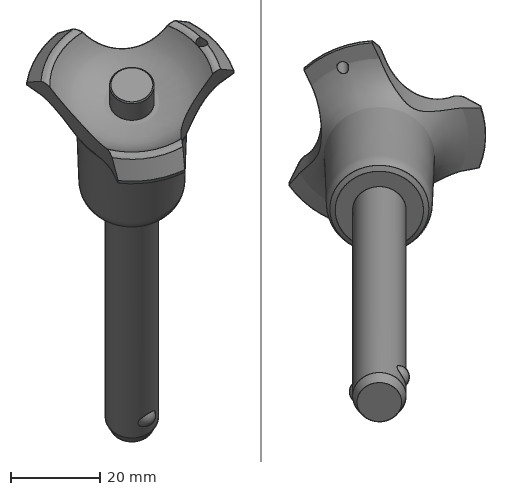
import cadquery as cq
import math

TOTAL_LENGTH = 130.3

RIM_RADIUS = 23.82
RIM_TOP_Z = -3.9
RIM_BOTTOM_Z = -4.9
CREST_OUTER_RADIUS = 20.4
CREST_INNER_RADIUS = 18.4
CREST_DROP = 0.25
FLARE_TOP = (20.0, -5.5)
FLARE_MIDDLE = (15.25, -8.85)

GRIP_TOP_RADIUS = 12.4
GRIP_TOP_Z = -14.3
GRIP_BOTTOM_RADIUS = 11.9
GRIP_BOTTOM_Z = -36.3
GRIP_CORNER_MIDDLE = (11.65, -38.0)
GRIP_CORNER_END = (11.1, -39.2)
GRIP_BASE_RADIUS = 9.9
GRIP_BASE_Z = -39.8

BOWL_MIDDLE = (13.9, -4.0)
FLOOR_RADIUS = 6.2
FLOOR_Z = -6.7

LOBE_HALF_WIDTH = 8.4
WAIST_START_Y = 16.9
WAIST_END_X = 18.5
WAIST_TURN = math.radians(60)
SIDE_CORNER_X = 23.635
LOWER_CORNER_X = 17.0
LOWER_ARC_MIDDLE_Y = -13.85

LANYARD_HOLE_DIAMETER = 2.6
LANYARD_HOLE_Y = 19.7

BUTTON_RADIUS = 5.0
BUTTON_CHAMFER = 0.3
SHANK_RADIUS = 6.0
TIP_RADIUS = 5.0
TIP_LENGTH = 2.9
BALL_RADIUS = 2.6
BALL_REACH = 7.15
BALL_Z = -121.9


def on_rim(x, sign):
    """Point of the rim circle at the given X, with Y of the given sign."""
    return (x, sign * math.sqrt(RIM_RADIUS**2 - x**2))


def mirrored(point):
    return (-point[0], point[1])


def make_grip():
    """Turned handle: grip body, flare, rim and crest."""
    return (
        cq.Workplane("XZ")
        .moveTo(0, 0)
        .lineTo(0, GRIP_BASE_Z)
        .lineTo(GRIP_BASE_RADIUS, GRIP_BASE_Z)
        .lineTo(*GRIP_CORNER_END)
        .threePointArc(GRIP_CORNER_MIDDLE, (GRIP_BOTTOM_RADIUS, GRIP_BOTTOM_Z))
        .lineTo(GRIP_TOP_RADIUS, GRIP_TOP_Z)
        .threePointArc(FLARE_MIDDLE, FLARE_TOP)
        .lineTo(RIM_RADIUS, RIM_BOTTOM_Z)
        .lineTo(RIM_RADIUS, RIM_TOP_Z)
        .lineTo(CREST_OUTER_RADIUS, -CREST_DROP)
        .threePointArc(
            ((CREST_OUTER_RADIUS + CREST_INNER_RADIUS) / 2, 0),
            (CREST_INNER_RADIUS, -CREST_DROP),
        )
        .lineTo(CREST_INNER_RADIUS, 0)
        .close()
        .revolve(360, (0, 0, 0), (0, 1, 0))
    )


def make_bowl():
    """Turned hollow of the handle: a dish with a flat floor."""
    return (
        cq.Workplane("XZ")
        .moveTo(0, 0)
        .lineTo(0, FLOOR_Z)
        .lineTo(FLOOR_RADIUS, FLOOR_Z)
        .threePointArc(BOWL_MIDDLE, (CREST_INNER_RADIUS, -CREST_DROP))
        .lineTo(CREST_INNER_RADIUS, 0)
        .close()
        .revolve(360, (0, 0, 0), (0, 1, 0))
    )


def make_lobe_prism():
    """Prism with the outline of the three lobes, full height of the handle."""
    upper_corner = on_rim(LOBE_HALF_WIDTH, 1)
    side_corner = on_rim(SIDE_CORNER_X, -1)
    lower_corner = on_rim(LOWER_CORNER_X, -1)
    waist_start = (LOBE_HALF_WIDTH, WAIST_START_Y)
    waist_end = (WAIST_END_X, 0)

    chord_x = waist_end[0] - waist_start[0]
    chord_y = waist_end[1] - waist_start[1]
    bulge = math.tan(WAIST_TURN / 4) / 2
    waist_middle = (
        (waist_start[0] + waist_end[0]) / 2 + bulge * chord_y,
        (waist_start[1] + waist_end[1]) / 2 - bulge * chord_x,
    )

    side_middle_angle = (
        math.atan2(side_corner[1], side_corner[0])
        + math.atan2(lower_corner[1], lower_corner[0])
    ) / 2
    side_middle = (
        RIM_RADIUS * math.cos(side_middle_angle),
        RIM_RADIUS * math.sin(side_middle_angle),
    )
    return (
        cq.Workplane("XY")
        .moveTo(*mirrored(upper_corner))
        .threePointArc((0, RIM_RADIUS), upper_corner)
        .lineTo(*waist_start)
        .threePointArc(waist_middle, waist_end)
        .lineTo(*side_corner)
        .threePointArc(side_middle, lower_corner)
        .threePointArc((0, LOWER_ARC_MIDDLE_Y), mirrored(lower_corner))
        .threePointArc(mirrored(side_middle), mirrored(side_corner))
        .lineTo(*mirrored(waist_end))
        .threePointArc(mirrored(waist_middle), mirrored(waist_start))
        .close()
        .extrude(GRIP_BASE_Z)
    )


def make_lanyard_hole():
    return (
        cq.Workplane("XY")
        .center(0, LANYARD_HOLE_Y)
        .circle(LANYARD_HOLE_DIAMETER / 2)
        .extrude(GRIP_TOP_Z)
    )


def make_button():
    """Release button rooted below the bowl floor, flush with the handle top."""
    return (
        cq.Workplane("XY")
        .circle(BUTTON_RADIUS)
        .extrude(GRIP_TOP_Z)
        .faces(">Z")
        .chamfer(BUTTON_CHAMFER)
    )


def make_shank():
    """Pin shank with a conical tip."""
    return (
        cq.Workplane("XZ")
        .moveTo(0, GRIP_BASE_Z)
        .lineTo(SHANK_RADIUS, GRIP_BASE_Z)
        .lineTo(SHANK_RADIUS, TIP_LENGTH - TOTAL_LENGTH)
        .lineTo(TIP_RADIUS, -TOTAL_LENGTH)
        .lineTo(0, -TOTAL_LENGTH)
        .close()
        .revolve(360, (0, 0, 0), (0, 1, 0))
    )


def make_ball(side):
    ball_x = side * (BALL_REACH - BALL_RADIUS)
    return cq.Workplane("XY").sphere(BALL_RADIUS).translate((ball_x, 0, BALL_Z))


handle = make_grip().cut(make_bowl()).intersect(make_lobe_prism()).cut(make_lanyard_hole())
result = handle.union(make_button()).union(make_shank())
for side in (-1, 1):
    result = result.union(make_ball(side))